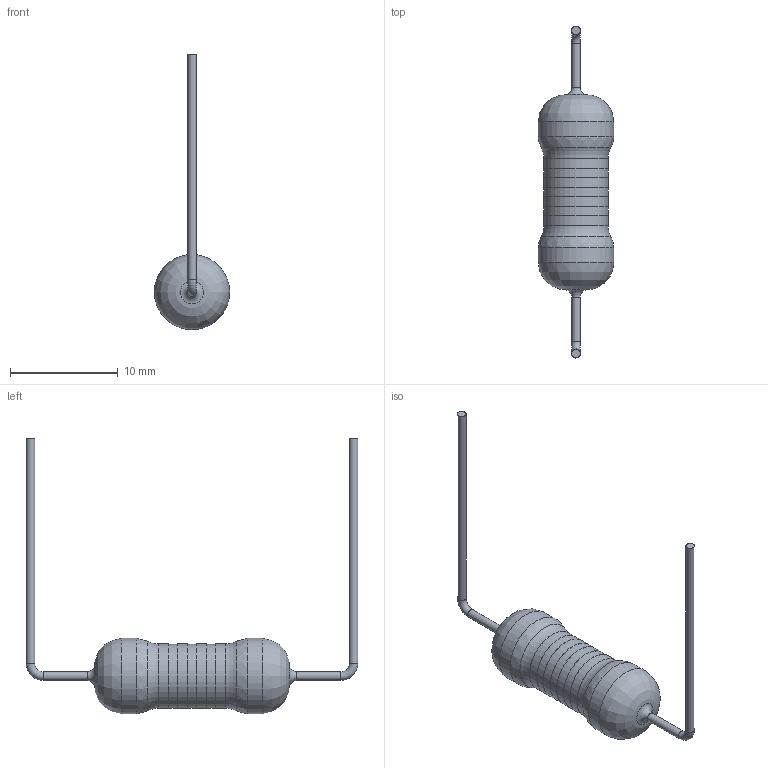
import cadquery as cq
import math


end_diameter = 7.0
waist_diameter = 5.95
band_diameter = 5.97
cap_start = 6.56
cap_radius = 2.48
shoulder_end = 5.16
waist_end = 3.11

band_count = 4
band_width = 0.93

lead_diameter = 0.8
lead_spacing = 30.0
lead_top = 22.1
bend_radius = 1.17
collar_radius = 0.7

end_radius = end_diameter / 2
waist_radius = waist_diameter / 2
lead_radius = lead_diameter / 2
lead_reach = lead_spacing / 2


def point_on_circle(center, radius, angle):
    """Point at an angle from the first axis, both axes being (radial, along Y)."""
    return (center[0] + radius * math.cos(angle), center[1] + radius * math.sin(angle))


def make_rod(diameter, start, length):
    """Cylinder on the body axis, running from start toward +Y."""
    return cq.Workplane("XZ", origin=(0, start, 0)).circle(diameter / 2).extrude(-length)


def make_body_end():
    """The +Y end of the body, with its shoulder, rounded end and lead collar."""
    shoulder_middle = ((waist_radius + end_radius) / 2, (waist_end + shoulder_end) / 2)

    rise = shoulder_middle[0] - waist_radius
    run = shoulder_middle[1] - waist_end
    shoulder_radius = (run**2 + rise**2) / (2 * rise)
    shoulder_center = (waist_radius + shoulder_radius, waist_end)
    shoulder_angle = math.pi - math.asin(run / shoulder_radius) / 2
    shoulder_bend = point_on_circle(shoulder_center, shoulder_radius, shoulder_angle)

    cap_center = (end_radius - cap_radius, cap_start)
    collar_r = lead_radius + collar_radius
    center_distance = cap_radius + collar_radius
    cap_angle = math.acos((collar_r - cap_center[0]) / center_distance)
    collar_center = point_on_circle(cap_center, center_distance, cap_angle)
    cap_end = point_on_circle(cap_center, cap_radius, cap_angle)
    collar_start_angle = cap_angle - math.pi
    collar_mid_angle = (collar_start_angle - math.pi) / 2

    profile = (
        cq.Workplane("XY")
        .moveTo(0, waist_end)
        .lineTo(waist_radius, waist_end)
        .threePointArc(shoulder_bend, shoulder_middle)
        .tangentArcPoint((end_radius, shoulder_end), relative=False)
        .lineTo(end_radius, cap_start)
        .threePointArc(point_on_circle(cap_center, cap_radius, cap_angle / 2), cap_end)
        .threePointArc(
            point_on_circle(collar_center, collar_radius, collar_mid_angle),
            (lead_radius, collar_center[1]),
        )
        .lineTo(0, collar_center[1])
        .close()
    )
    return profile.revolve(360, (0, 0), (0, 1))


def make_waist():
    """Waist cylinder with evenly spaced raised bands; the end bands meet the shoulders."""
    waist = make_rod(waist_diameter, -waist_end, 2 * waist_end)
    band_pitch = (2 * waist_end - band_width) / (band_count - 1)
    for index in range(band_count):
        band_start = -waist_end + index * band_pitch
        waist = waist.union(make_rod(band_diameter, band_start, band_width))
    return waist


def make_lead():
    """The +Y lead: out along the body axis, round the bend and up to its tip."""
    lead_root = cap_start
    bend_mid = bend_radius * math.sqrt(0.5)
    path = (
        cq.Workplane("YZ")
        .moveTo(lead_root, 0)
        .lineTo(lead_reach - bend_radius, 0)
        .threePointArc(
            (lead_reach - bend_radius + bend_mid, bend_radius - bend_mid),
            (lead_reach, bend_radius),
        )
        .lineTo(lead_reach, lead_top)
    )
    return cq.Workplane("XZ", origin=(0, lead_root, 0)).circle(lead_radius).sweep(path)


end_with_lead = make_body_end().union(make_lead())
result = make_waist().union(end_with_lead).union(end_with_lead.mirror("XZ"))